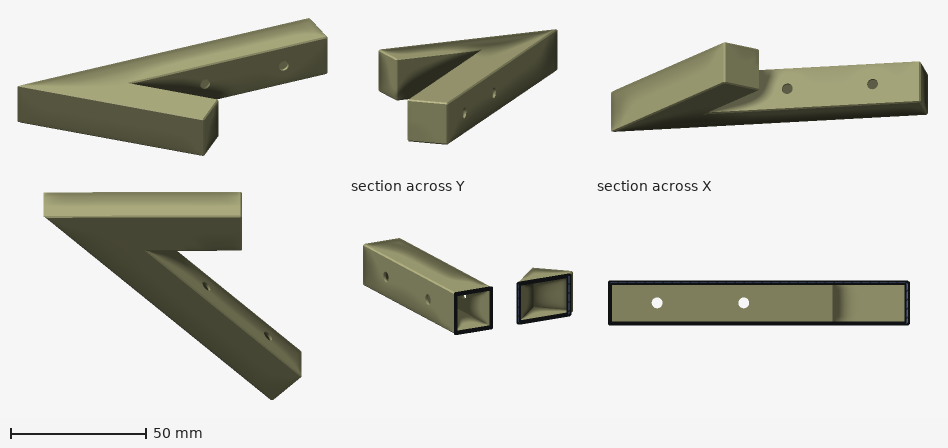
import cadquery as cq
import math

bar_width = 16.0
thickness = 16.0
wall = 1.0
long_arm_length = 119.0
branch_reach = 51.5
branch_angle = math.radians(45)
edge_chamfer = 0.5

hole_diameter = 4.0
first_hole_from_end = 18.0
hole_spacing = 32.0
hole_count = 2

sharp_reach = branch_reach + edge_chamfer * math.sin(branch_angle)
outer_corner = (sharp_reach, sharp_reach * math.tan(branch_angle))
inner_corner = (
    outer_corner[0] - bar_width * math.sin(branch_angle),
    outer_corner[1] + bar_width * math.cos(branch_angle),
)
crotch = (bar_width, bar_width * (math.tan(branch_angle) + 1 / math.cos(branch_angle)))
arm_end_right = (bar_width, long_arm_length)
arm_end_left = (0, long_arm_length)
end_corners = [outer_corner, inner_corner, arm_end_right, arm_end_left]


def plan_outline(base_height):
    """Straight arm along Y, with a slanted arm leaving its pointed lower end."""
    points = [(0, 0), outer_corner, inner_corner, crotch, arm_end_right, arm_end_left]
    return cq.Workplane("XY").workplane(offset=base_height).polyline(points).close()


def make_body():
    """Solid body, chamfered around its top, its bottom and both arm ends."""
    body = plan_outline(0).extrude(thickness)
    chamfered_edges = body.faces("<Z or >Z").edges()
    for x, y in end_corners:
        end_edge = body.edges(cq.selectors.NearestToPointSelector((x, y, thickness / 2)))
        chamfered_edges = chamfered_edges.add(end_edge)
    return chamfered_edges.chamfer(edge_chamfer)


def make_cavity():
    """Inner space that leaves an even wall on every side."""
    return plan_outline(wall).offset2D(-wall, "intersection").extrude(thickness - 2 * wall)


def make_hole(index):
    """Hole through both walls of the straight arm, along X at mid height."""
    hole_y = long_arm_length - first_hole_from_end - index * hole_spacing
    centre = cq.Workplane("YZ").center(hole_y, thickness / 2)
    return centre.circle(hole_diameter / 2).extrude(bar_width)


result = make_body().cut(make_cavity())
for hole_index in range(hole_count):
    result = result.cut(make_hole(hole_index))